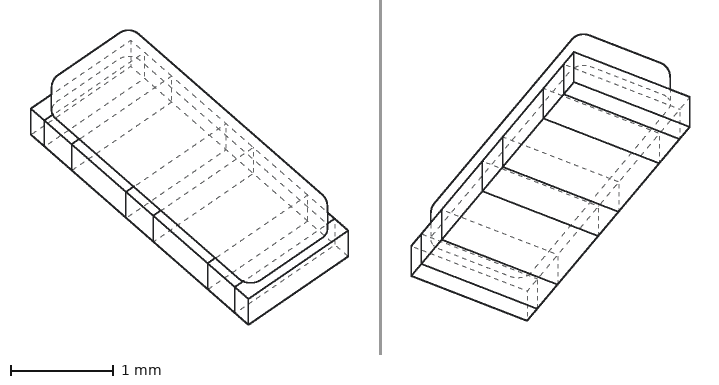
import cadquery as cq

base_length = 3.2
base_width = 1.3
base_height = 0.4
terminal_count = 3
terminal_length = 0.4
terminal_pitch = 1.2
lid_height = 0.5
lid_margin = 0.1
lid_radius = 0.15

lid_length = base_length - 2 * lid_margin
lid_width = base_width - 2 * lid_margin
gap_length = terminal_pitch - terminal_length
terminal_span = (terminal_count - 1) * terminal_pitch + terminal_length
end_length = (base_length - terminal_span) / 2
first_terminal_x = -(terminal_count - 1) * terminal_pitch / 2


def make_slab(length, center_x):
    """Full-width slab of the base, resting on Z = 0."""
    return (
        cq.Workplane("XY")
        .box(length, base_width, base_height, centered=(True, True, False))
        .translate((center_x, 0, 0))
    )


def make_terminal(index):
    """Terminal band that runs across the whole base."""
    return make_slab(terminal_length, first_terminal_x + index * terminal_pitch)


def make_spacer(index):
    """Ceramic block between two neighbouring terminals."""
    return make_slab(gap_length, first_terminal_x + (index + 0.5) * terminal_pitch)


def make_end_block(side):
    """Ceramic block at one end of the base; side is -1 or +1."""
    return make_slab(end_length, side * (base_length - end_length) / 2)


def make_lid():
    """Solid cover with rounded upright corners and a rounded top rim."""
    return (
        cq.Workplane("XY")
        .workplane(offset=base_height)
        .box(lid_length, lid_width, lid_height, centered=(True, True, False))
        .edges("|Z or >Z")
        .fillet(lid_radius)
    )


terminals = [make_terminal(index) for index in range(terminal_count)]
spacers = [make_spacer(index) for index in range(terminal_count - 1)]
end_blocks = [make_end_block(side) for side in (-1, 1)]
lid = make_lid()

base_bodies = terminals + spacers + end_blocks
result = cq.Compound.makeCompound([*(body.val() for body in base_bodies), lid.solids().val()])